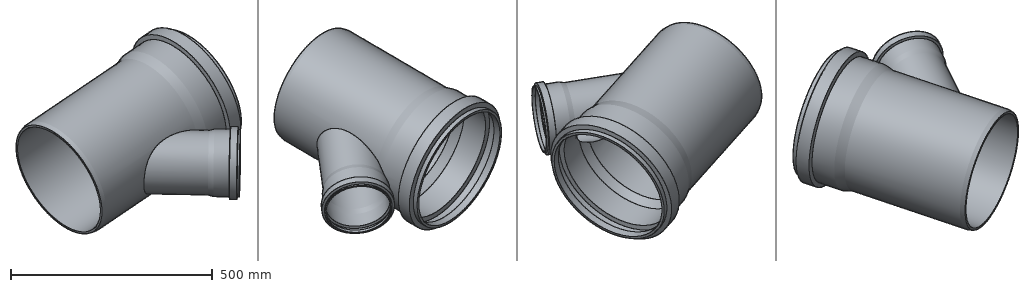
import cadquery as cq
import math

LENGTH = 467.0
PIPE_DIAMETER = 315.5
PIPE_BORE = 298.0
SOCKET_DIAMETER = 330.0
COLLAR_DIAMETER = 354.5
TIP_DIAMETER = 309.5
TIP_LENGTH = 11.5
FLARE_START = 328.0
FLARE_END = 353.0
COLLAR_START = 414.5
COLLAR_END = 455.0
COLLAR_TAPER = 2.5
SOCKET_WALL = 6.8

BRANCH_ANGLE = 45.0
BRANCH_ORIGIN_Y = 96.0
BRANCH_LENGTH = 379.0
BRANCH_DIAMETER = 160.5
BRANCH_BORE = 152.5
BRANCH_SOCKET_DIAMETER = 168.0
BRANCH_COLLAR_DIAMETER = 181.5
BRANCH_FLARE_START = 302.0
BRANCH_FLARE_END = 315.5
BRANCH_COLLAR_START = 353.5
BRANCH_COLLAR_END = 374.5
BRANCH_COLLAR_TAPER = 1.5
BRANCH_SOCKET_WALL = 3.5


def revolve_y(outline):
    """Revolve a closed (radius, distance) outline about the Y axis."""
    return cq.Workplane("XY").polyline(outline).close().revolve(360, (0, 0, 0), (0, 1, 0))


def socket_outline(pipe_radius, socket_radius, collar_radius, flare, collar, taper, end):
    """Outline of the flare, socket and collar, from the flare to the end on the axis."""
    return [
        (pipe_radius, flare[0]),
        (socket_radius, flare[1]),
        (socket_radius, collar[0]),
        (collar_radius, collar[0] + taper),
        (collar_radius, collar[1] - taper),
        (socket_radius, collar[1]),
        (socket_radius, end),
        (0, end),
    ]


FLARE = (FLARE_START, FLARE_END)
COLLAR = (COLLAR_START, COLLAR_END)
GROOVE = (COLLAR_START + SOCKET_WALL, COLLAR_END - SOCKET_WALL)

main_body = revolve_y(
    [(0, 0), (TIP_DIAMETER / 2, 0), (PIPE_DIAMETER / 2, TIP_LENGTH)]
    + socket_outline(PIPE_DIAMETER / 2, SOCKET_DIAMETER / 2, COLLAR_DIAMETER / 2,
                     FLARE, COLLAR, COLLAR_TAPER, LENGTH)
)
main_cavity = revolve_y(
    [(0, 0), (PIPE_BORE / 2, 0)]
    + socket_outline(PIPE_BORE / 2, SOCKET_DIAMETER / 2 - SOCKET_WALL,
                     COLLAR_DIAMETER / 2 - SOCKET_WALL,
                     FLARE, GROOVE, COLLAR_TAPER, LENGTH)
)

BRANCH_FLARE = (BRANCH_FLARE_START, BRANCH_FLARE_END)
BRANCH_COLLAR = (BRANCH_COLLAR_START, BRANCH_COLLAR_END)
BRANCH_GROOVE = (BRANCH_COLLAR_START + BRANCH_SOCKET_WALL, BRANCH_COLLAR_END - BRANCH_SOCKET_WALL)
BRANCH_START = BRANCH_DIAMETER / 2 / math.tan(math.radians(BRANCH_ANGLE))


def place_branch(solid):
    """Tilt a solid from the Y axis towards +X and move it to the branch origin."""
    return solid.rotate((0, 0, 0), (0, 0, 1), -BRANCH_ANGLE).translate((0, BRANCH_ORIGIN_Y, 0))


branch_body = place_branch(revolve_y(
    [(0, BRANCH_START), (BRANCH_DIAMETER / 2, BRANCH_START)]
    + socket_outline(BRANCH_DIAMETER / 2, BRANCH_SOCKET_DIAMETER / 2, BRANCH_COLLAR_DIAMETER / 2,
                     BRANCH_FLARE, BRANCH_COLLAR, BRANCH_COLLAR_TAPER, BRANCH_LENGTH)
))
branch_cavity = place_branch(revolve_y(
    [(0, BRANCH_START), (BRANCH_BORE / 2, BRANCH_START)]
    + socket_outline(BRANCH_BORE / 2, BRANCH_SOCKET_DIAMETER / 2 - BRANCH_SOCKET_WALL,
                     BRANCH_COLLAR_DIAMETER / 2 - BRANCH_SOCKET_WALL,
                     BRANCH_FLARE, BRANCH_GROOVE, BRANCH_COLLAR_TAPER, BRANCH_LENGTH)
))

result = main_body.union(branch_body).cut(main_cavity).cut(branch_cavity)